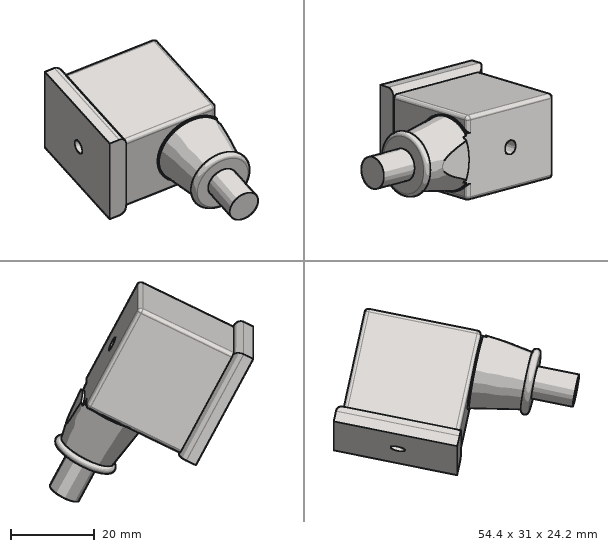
import cadquery as cq

flange_length = 30.2
flange_height = 24.2
flange_thickness = 4.55
flange_round = 1.9

body_left = 1.45
body_right = 29.85
body_height = 21.1
body_back = 30.0
body_round = 1.0

hole_x = 15.65
hole_diameter = 3.5

outlet_axis_y = 22.95
boot_root_radius = 9.25
boot_tip_radius = 7.0
boot_flat_y = 30.6
boot_end_bulge_radius = 13.6
collar_radius = 9.45
collar_width = 0.4
ring_start = 42.4
ring_width = 1.95
ring_radius = 8.05
cable_radius = 3.95
cable_end = 54.4


def make_flange():
    """Plate rounded on three sides of its inner face; the outlet side stays square."""
    plate = cq.Workplane("XY").box(
        flange_length, flange_thickness, flange_height, centered=(False, False, True)
    )
    inner_edges = plate.faces(">Y").edges("not(>X)")
    return inner_edges.fillet(flange_round)


def make_body():
    """Block with rounded long edges and a back rounded all the way round."""
    block = (
        cq.Workplane("XY")
        .box(body_right - body_left, body_back, body_height, centered=(False, False, True))
        .translate((body_left, 0, 0))
    )
    return block.edges("|Y or >Y").fillet(body_round)


def turned(x_start, x_end, start_radius, end_radius):
    """Solid of revolution about the outlet axis with a straight flank."""
    return (
        cq.Workplane("XY")
        .moveTo(x_start, 0)
        .lineTo(x_start, start_radius)
        .lineTo(x_end, end_radius)
        .lineTo(x_end, 0)
        .close()
        .revolve(360, (0, 0), (1, 0))
        .translate((0, outlet_axis_y, 0))
    )


def slab(y_start, y_end):
    """Oversize block filling a range of Y, used to trim the boot."""
    return (
        cq.Workplane("XY")
        .box(cable_end, y_end - y_start, flange_height, centered=(False, False, True))
        .translate((0, y_start, 0))
    )


def make_boot():
    """Tapered boot with a flat back and a bulged end where it stands above the housing."""
    boot_start = body_right - body_round
    cone = turned(body_right, ring_start, boot_root_radius, boot_tip_radius)
    root = turned(boot_start, body_right, boot_root_radius, boot_root_radius)
    collar_end = body_right + collar_width
    collar = turned(boot_start, collar_end, collar_radius, collar_radius)
    housing_joint = root.union(collar).intersect(slab(0, body_back))

    bulge = (
        cq.Workplane("XZ", origin=(body_right + boot_end_bulge_radius, body_back, 0))
        .circle(boot_end_bulge_radius)
        .extrude(body_back - boot_flat_y)
    )
    end_trim = (
        slab(body_back, boot_flat_y)
        .translate((body_right + boot_end_bulge_radius - cable_end, 0, 0))
        .cut(bulge)
    )
    flat_cone = cone.intersect(slab(0, boot_flat_y)).cut(end_trim)
    return flat_cone.union(housing_joint)


def make_ring():
    """Ring at the boot tip with a fully rounded rim."""
    shoulder_radius = ring_radius - ring_width / 2
    ring_end = ring_start + ring_width
    return (
        cq.Workplane("XY")
        .moveTo(ring_start, 0)
        .lineTo(ring_start, shoulder_radius)
        .threePointArc((ring_start + ring_width / 2, ring_radius), (ring_end, shoulder_radius))
        .lineTo(ring_end, 0)
        .close()
        .revolve(360, (0, 0), (1, 0))
        .translate((0, outlet_axis_y, 0))
    )


cable = turned(ring_start, cable_end, cable_radius, cable_radius)

hole = (
    cq.Workplane("XZ")
    .center(hole_x, 0)
    .circle(hole_diameter / 2)
    .extrude(-body_back)
)

result = (
    make_flange()
    .union(make_body())
    .union(make_boot())
    .union(make_ring())
    .union(cable)
    .cut(hole)
)